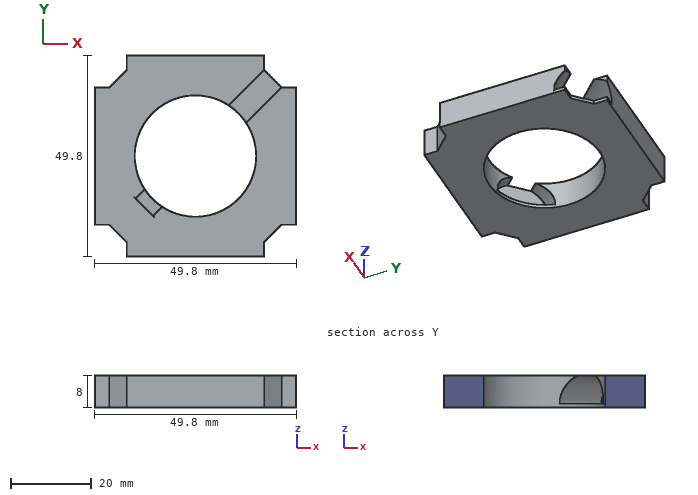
import cadquery as cq
import math

plate_size = 49.8
plate_thickness = 8.0
bore_diameter = 30.0
slot_width = 6.1
corner_notch_edge = 17.0
blind_end_reach = 17.9
tunnel_floor = 1.0
open_corner_angle = 45.0

half_size = plate_size / 2
corner_flat_end = corner_notch_edge + slot_width / math.sqrt(2)
corner_reach = half_size * math.sqrt(2)
tunnel_radius = math.hypot(slot_width / 2, plate_thickness - tunnel_floor)


def make_plate():
    """Square plate standing on Z = 0."""
    return cq.Workplane("XY").rect(plate_size, plate_size).extrude(plate_thickness)


def make_corner_notch():
    """Notch at the +X +Y corner: two square side walls joined by a diagonal flat."""
    return (
        cq.Workplane("XY")
        .moveTo(corner_notch_edge, half_size)
        .lineTo(corner_notch_edge, corner_flat_end)
        .lineTo(corner_flat_end, corner_notch_edge)
        .lineTo(half_size, corner_notch_edge)
        .lineTo(half_size, half_size)
        .close()
        .extrude(plate_thickness)
    )


def make_tunnel():
    """Half-round tunnel with a flat floor, from its blind end across the bore and out at a corner."""
    return (
        cq.Workplane("YZ", origin=(-blind_end_reach, 0, tunnel_floor))
        .moveTo(-tunnel_radius, 0)
        .threePointArc((0, tunnel_radius), (tunnel_radius, 0))
        .close()
        .extrude(blind_end_reach + corner_reach)
        .rotate((0, 0, 0), (0, 0, 1), open_corner_angle)
    )


result = make_plate()
for corner in range(4):
    result = result.cut(make_corner_notch().rotate((0, 0, 0), (0, 0, 1), corner * 90))
result = result.cut(cq.Workplane("XY").circle(bore_diameter / 2).extrude(plate_thickness))
result = result.cut(make_tunnel())